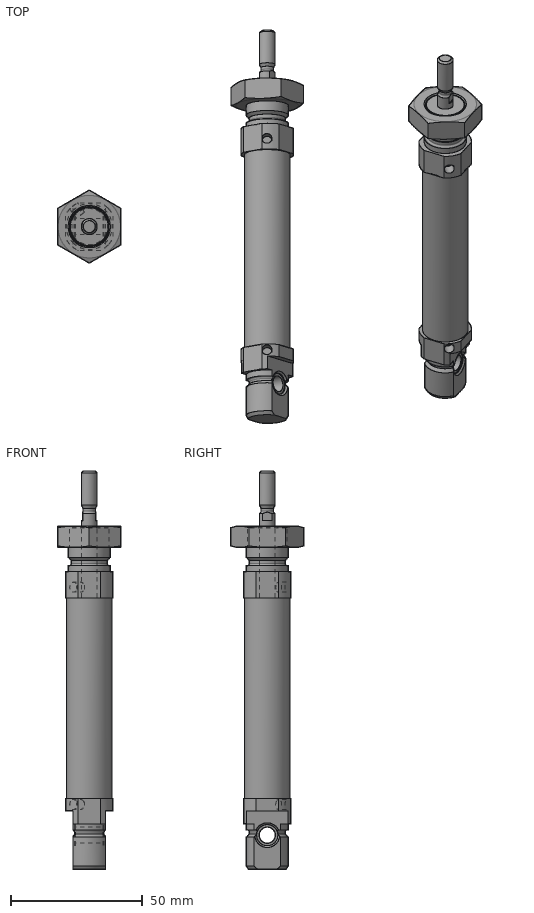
import cadquery as cq
import math

total_height = 151.0
thread_dia = 16.0
neck_dia = 13.7
undercut_fillet = 0.8
tip_dia = 14.3
tip_chamfer_height = 1.4
tube_dia = 17.4
cap_round_dia = 20.0
cap_flats = 18.0

eye_width = 12.4
rear_thread_top = 12.2
rear_shoulder = 15.0
rear_cap_bottom = 17.2
eye_flat_top = 22.2
rear_cap_top = 26.9
eye_height = 13.0
eye_dia = 6.0
eye_counterbore_dia = 8.0
eye_counterbore_depth = 1.0
eye_mouth_dia = 9.4

front_cap_bottom = 102.8
front_cap_top = 112.8
front_shoulder = 115.0
front_thread_bottom = 118.2
nut_bottom = 122.0
nut_height = 8.0
nut_flats = 24.0
nut_bore_dia = 15.1
nut_countersink_dia = 16.0
nut_chamfer_dia = 23.7
nut_chamfer_angle = 15.0
nut_top = nut_bottom + nut_height
nut_countersink_depth = (nut_countersink_dia - nut_bore_dia) / 2
nose_recess = 0.3
nose_top = nut_top - nose_recess
nose_chamfer = (nut_bore_dia - tip_dia) / 2

port_dia = 3.8
port_depth = 4.5
port_angle = 127.0
front_port_height = 106.9
rear_port_height = 24.6

rod_dia = 6.0
rod_neck_dia = 4.8
rod_tip_chamfer = 0.8
rod_thread_bottom = 138.0
rod_neck_top = 136.8
rod_neck_fillet = 0.9
rod_shoulder = 134.8
rod_flats = 5.0
rod_flat_bottom = 132.1

thread_r = thread_dia / 2
neck_r = neck_dia / 2
tip_r = tip_dia / 2
undercut_depth = thread_r - neck_r


def cylinder(diameter, bottom, top):
    return cq.Workplane("XY").workplane(offset=bottom).circle(diameter / 2).extrude(top - bottom)


def square_cap(bottom, top):
    """Round end cap with four flats."""
    flats = cq.Workplane("XY").workplane(offset=bottom).rect(cap_flats, cap_flats).extrude(top - bottom)
    return cylinder(cap_round_dia, bottom, top).intersect(flats)


def concave_arc(path, start, end, centre):
    """Add to the path the short arc from start to end around the centre."""
    middle_angle = math.atan2(start[1] + end[1] - 2 * centre[1], start[0] + end[0] - 2 * centre[0])
    radius = math.dist(start, centre)
    middle = (centre[0] + radius * math.cos(middle_angle), centre[1] + radius * math.sin(middle_angle))
    return path.threePointArc(middle, end)


def rear_stem():
    """Rear thread with tip chamfer, and an undercut that is rounded into the shoulder."""
    arc_start = (neck_r, rear_shoulder - undercut_fillet)
    arc_end = (neck_r + undercut_fillet, rear_shoulder)
    path = (
        cq.Workplane("XZ")
        .moveTo(0, 0)
        .lineTo(tip_r, 0)
        .lineTo(thread_r, tip_chamfer_height)
        .lineTo(thread_r, rear_thread_top)
        .lineTo(neck_r, rear_thread_top + undercut_depth)
        .lineTo(*arc_start)
    )
    path = concave_arc(path, arc_start, arc_end, (arc_end[0], arc_start[1]))
    path = (
        path.lineTo(thread_r, rear_shoulder)
        .lineTo(thread_r, rear_cap_bottom)
        .lineTo(0, rear_cap_bottom)
        .close()
    )
    return path.revolve(360, (0, 0, 0), (0, 1, 0))


def front_stem():
    """Front thread with an undercut rounded into the shoulder, and the nose that carries the nut."""
    arc_start = (neck_r + undercut_fillet, front_shoulder)
    arc_end = (neck_r, front_shoulder + undercut_fillet)
    path = (
        cq.Workplane("XZ")
        .moveTo(0, front_cap_top)
        .lineTo(thread_r, front_cap_top)
        .lineTo(thread_r, front_shoulder)
        .lineTo(*arc_start)
    )
    path = concave_arc(path, arc_start, arc_end, (arc_start[0], arc_end[1]))
    path = (
        path.lineTo(neck_r, front_thread_bottom - undercut_depth)
        .lineTo(thread_r, front_thread_bottom)
        .lineTo(thread_r, nut_bottom)
        .lineTo(nut_bore_dia / 2, nut_bottom)
        .lineTo(nut_bore_dia / 2, nose_top - nose_chamfer)
        .lineTo(tip_r, nose_top)
        .lineTo(0, nose_top)
        .close()
    )
    return path.revolve(360, (0, 0, 0), (0, 1, 0))


def eye_side_cuts():
    """Material outside the two flat sides of the rear eye."""
    cut_span = 2 * cap_round_dia
    outside = cq.Workplane("XY").rect(cut_span, cut_span).extrude(eye_flat_top)
    kept = cq.Workplane("XY").rect(eye_width, cut_span).extrude(eye_flat_top)
    return outside.cut(kept)


def eye_bore():
    """Hinge hole along X with a chamfered counterbore in each side."""
    half = eye_width / 2
    seat = half - eye_counterbore_depth
    mouth_chamfer = (eye_mouth_dia - eye_counterbore_dia) / 2
    half_profile = [
        (0, eye_height),
        (0, eye_height + eye_dia / 2),
        (seat, eye_height + eye_dia / 2),
        (seat, eye_height + eye_counterbore_dia / 2),
        (half - mouth_chamfer, eye_height + eye_counterbore_dia / 2),
        (half, eye_height + eye_mouth_dia / 2),
        (half, eye_height),
    ]
    half_bore = (
        cq.Workplane("XZ").polyline(half_profile).close().revolve(360, (0, eye_height, 0), (1, eye_height, 0))
    )
    return half_bore.union(half_bore.mirror("YZ"))


def port(height):
    """Blind radial port in the rounded corner of a cap."""
    angle = math.radians(port_angle)
    outward = cq.Vector(math.cos(angle), math.sin(angle), 0)
    start = outward * (cap_round_dia / 2 - port_depth) + cq.Vector(0, 0, height)
    return cq.Workplane(cq.Solid.makeCylinder(port_dia / 2, 2 * port_depth, start, outward))


def make_housing():
    body = (
        rear_stem()
        .union(square_cap(rear_cap_bottom, rear_cap_top))
        .union(cylinder(tube_dia, rear_cap_top, front_cap_bottom))
        .union(square_cap(front_cap_bottom, front_cap_top))
        .union(front_stem())
    )
    body = body.cut(eye_side_cuts()).cut(eye_bore())
    for height in (rear_port_height, front_port_height):
        body = body.cut(port(height))
    rod_bore = cylinder(rod_dia, front_cap_bottom, nose_top)
    return body.cut(rod_bore)


def make_nut():
    """Hexagon nut, points along Y, with its corners chamfered on both faces."""
    corner_r = nut_flats / math.sqrt(3)
    chamfer_r = nut_chamfer_dia / 2
    drop = (corner_r - chamfer_r) * math.tan(math.radians(nut_chamfer_angle))
    hexagon = (
        cq.Workplane("XY")
        .workplane(offset=nut_bottom)
        .transformed(rotate=(0, 0, 90))
        .polygon(6, 2 * corner_r)
        .extrude(nut_height)
    )
    profile = [
        (0, nut_bottom),
        (chamfer_r, nut_bottom),
        (corner_r, nut_bottom + drop),
        (corner_r, nut_top - drop),
        (chamfer_r, nut_top),
        (0, nut_top),
    ]
    envelope = cq.Workplane("XZ").polyline(profile).close().revolve(360, (0, 0, 0), (0, 1, 0))
    countersink_base = cq.Vector(0, 0, nut_top - nut_countersink_depth)
    countersink = cq.Workplane(
        cq.Solid.makeCone(
            nut_bore_dia / 2, nut_countersink_dia / 2, nut_countersink_depth, countersink_base
        )
    )
    return hexagon.intersect(envelope).cut(cylinder(nut_bore_dia, nut_bottom, nut_top)).cut(countersink)


def make_rod():
    """Piston rod with a threaded tip, a thread undercut and two wrench flats that run up into its fillet."""
    rod_r = rod_dia / 2
    rod_neck_r = rod_neck_dia / 2
    fillet_centre_r = rod_neck_r + rod_neck_fillet
    fillet_rise = math.sqrt(rod_neck_fillet**2 - (fillet_centre_r - rod_r) ** 2)
    neck_bottom = rod_shoulder + fillet_rise
    arc_start = (rod_r, rod_shoulder)
    arc_end = (rod_neck_r, neck_bottom)
    path = (
        cq.Workplane("XZ")
        .moveTo(0, front_cap_bottom)
        .lineTo(rod_r, front_cap_bottom)
        .lineTo(*arc_start)
    )
    path = concave_arc(path, arc_start, arc_end, (fillet_centre_r, neck_bottom))
    path = (
        path.lineTo(rod_neck_r, rod_neck_top)
        .lineTo(rod_r, rod_thread_bottom)
        .lineTo(rod_r, total_height - rod_tip_chamfer)
        .lineTo(rod_r - rod_tip_chamfer, total_height)
        .lineTo(0, total_height)
        .close()
    )
    rod = path.revolve(360, (0, 0, 0), (0, 1, 0))
    flat_zone = cq.Workplane("XY").workplane(offset=rod_flat_bottom)
    flat_height = neck_bottom - rod_flat_bottom
    waste = flat_zone.rect(2 * rod_dia, 2 * rod_dia).extrude(flat_height)
    kept = flat_zone.rect(rod_flats, 2 * rod_dia).extrude(flat_height)
    return rod.cut(waste.cut(kept))


housing = make_housing()
nut = make_nut()
rod = make_rod()

result = cq.Compound.makeCompound([housing.val(), nut.val(), rod.val()])